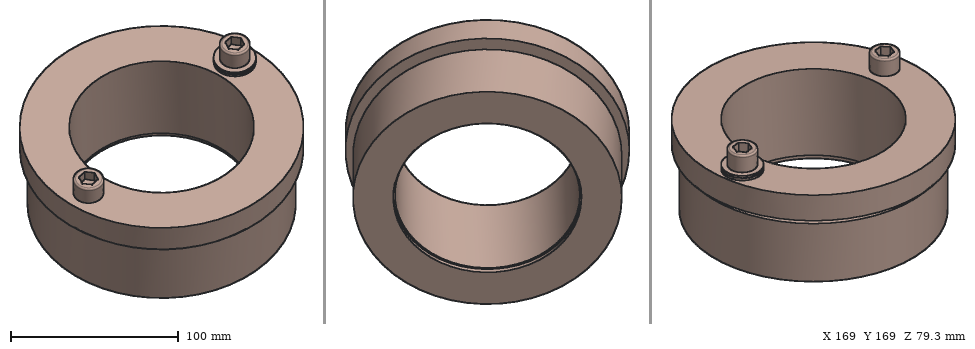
import cadquery as cq
import math

base_diameter = 160.0
base_height = 41.0

flange_diameter = 169.0
flange_thickness = 18.0
flange_gap = 4.9
bore_diameter = 110.0
sleeve_top_diameter = 118.5
sleeve_end_diameter = 112.0
sleeve_end_height = 3.0

screw_circle_diameter = 140.0
shank_diameter = 12.0
shank_length = 50.0
head_diameter = 18.0
head_height = 12.0
head_fillet = 1.2
socket_flats = 10.0
socket_depth = 6.0
socket_tip_depth = 3.4

washer_diameter = 25.4
washer_bore = 13.0
washer_thickness = 3.4
cam_count = 16
cam_rise = 0.5
cam_slot_width = 0.2
cam_slot_depth = 0.3

flange_bottom = base_height + flange_gap
flange_top = flange_bottom + flange_thickness
screw_circle_radius = screw_circle_diameter / 2
rear_y = screw_circle_radius
front_y = -screw_circle_radius
screw_places = [(front_y, flange_top), (rear_y, flange_top + washer_thickness)]


def cylinder(diameter, height, bottom=0.0, y=0.0):
    """Upright cylinder on the plane X = 0."""
    return cq.Workplane("XY", origin=(0, y, bottom)).circle(diameter / 2).extrude(height)


def make_shank(y, seat):
    """Shank of a screw, also used to cut its hole."""
    return cylinder(shank_diameter, shank_length, seat - shank_length, y)


def make_sleeve_cone():
    """Solid cone with the outer shape of the sleeve, from its lower end up to the flange plate."""
    return (
        cq.Workplane("XY", origin=(0, 0, sleeve_end_height))
        .circle(sleeve_end_diameter / 2)
        .workplane(offset=flange_bottom - sleeve_end_height)
        .circle(sleeve_top_diameter / 2)
        .loft(ruled=True)
    )


def make_base():
    """Ring with a tapered seat for the sleeve and blind holes for the screws."""
    ring = cylinder(base_diameter, base_height)
    ring = ring.cut(cylinder(sleeve_end_diameter, sleeve_end_height)).cut(make_sleeve_cone())
    for y, seat in screw_places:
        ring = ring.cut(make_shank(y, seat))
    return ring


def make_flange():
    """Plate and tapered sleeve with one common bore, drilled for the screws."""
    plate = cylinder(flange_diameter, flange_thickness, flange_bottom)
    body = plate.union(make_sleeve_cone()).cut(cylinder(bore_diameter, flange_top))
    for y, seat in screw_places:
        body = body.cut(make_shank(y, seat))
    return body


def make_socket(y, head_top):
    """Hexagonal socket with two flats across X and a conical floor."""
    corner_diameter = socket_flats / math.cos(math.pi / 6)
    full_depth = socket_depth + socket_tip_depth
    hexagon = (
        cq.Workplane("XY", origin=(0, y, head_top - full_depth))
        .transformed(rotate=(0, 0, 90))
        .polygon(6, corner_diameter)
        .extrude(full_depth)
    )
    floor_cone = cq.Solid.makeCone(
        0, corner_diameter / 2, socket_tip_depth, pnt=cq.Vector(0, y, head_top - full_depth)
    )
    drilled = cylinder(corner_diameter, socket_depth, head_top - socket_depth, y).union(cq.Workplane(floor_cone))
    return hexagon.intersect(drilled)


def make_screw(y, seat):
    """Cap screw whose head rests at the height `seat`."""
    head = cylinder(head_diameter, head_height, seat, y).faces(">Z").edges().fillet(head_fillet)
    return head.cut(make_socket(y, seat + head_height)).union(make_shank(y, seat))


def make_washer(y):
    """Washer with a ring of slanted slots in its rim, one for each cam."""
    washer = cylinder(washer_diameter, washer_thickness, flange_top, y)
    washer = washer.cut(cylinder(washer_bore, washer_thickness, flange_top, y))
    pitch = math.pi * washer_diameter / cam_count
    slope = math.degrees(math.atan(cam_rise / pitch))
    for index in range(cam_count):
        slot = (
            cq.Workplane("XY")
            .box(2 * cam_slot_depth, pitch, cam_slot_width)
            .rotate((0, 0, 0), (1, 0, 0), slope)
            .translate((washer_diameter / 2, 0, 0))
            .rotate((0, 0, 0), (0, 0, 1), index * 360 / cam_count)
            .translate((0, y, flange_top + washer_thickness / 2))
        )
        washer = washer.cut(slot)
    return washer


base = make_base()
flange = make_flange()
washer = make_washer(rear_y)
screws = [make_screw(y, seat).val() for y, seat in screw_places]

result = cq.Compound.makeCompound([base.val(), flange.val(), washer.val(), *screws])